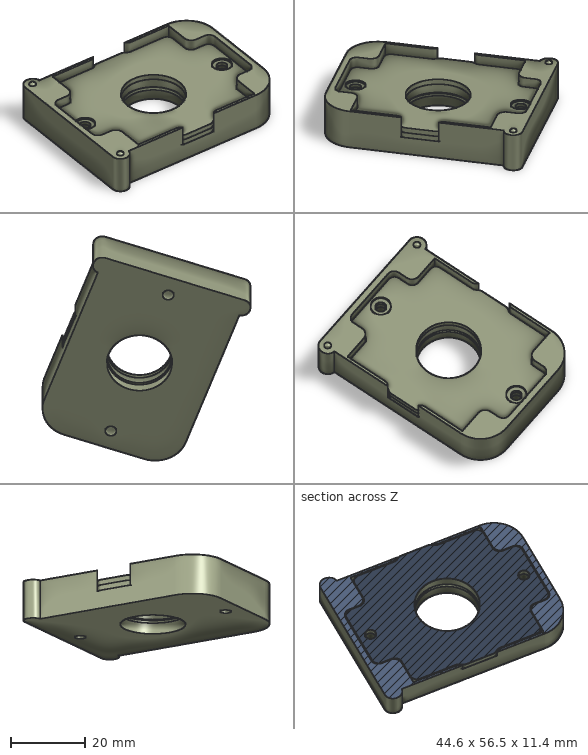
import cadquery as cq
import math

LENGTH = 56.45
WIDTH_OVER_BOSSES = 44.6
HEIGHT_OVER_BUMPS = 11.45
BODY_WIDTH = 40.35
BODY_HALF_WIDTH = BODY_WIDTH / 2
BODY_CORNER_RADIUS = 8.75
REAR_HEIGHT = 11.0
FRONT_HEIGHT = 10.8

BOSS_RADIUS = 2.5
BOSS_FLAT = 0.1
BOSS_X = WIDTH_OVER_BOSSES / 2 - BOSS_RADIUS
BOSS_Y = BOSS_RADIUS - LENGTH / 2
BUMP_RADIUS = 0.95
BUMP_HEIGHT = HEIGHT_OVER_BUMPS - FRONT_HEIGHT

FLOOR_Z = 5.0
RECESS_HALF_SIZE = 19.35
RECESS_END_Y = 26.4
RECESS_END_HALF_WIDTH = 9.95
RECESS_RADIUS = 2.0
RECESS_NECK_RADIUS = 2.3
NOTCH_HALF_WIDTH = 5.15

PLATE_STACK_HEIGHT = 3.0
PLATE_THICKNESS = PLATE_STACK_HEIGHT / 2
PLATE_HALF_WIDTH = 19.2
PLATE_HALF_LENGTH = 19.3
PLATE_END_Y = 26.25
PLATE_END_HALF_WIDTH = 9.9
PLATE_RADIUS = 2.0
SIDE_TAB_HALF_WIDTH = 3.95

OPENING_DIAMETER = 17.5
SEAT_DIAMETER = 20.0
SEAT_Z = 3.0
COLLAR_DIAMETER = 19.5
COLLAR_DEPTH = 1.0

SCREW_Y = 22.85
SCREW_DIAMETER = 3.0
SCREW_HEAD_DIAMETER = 5.5
SCREW_HEAD_DEPTH = 0.5
SCREW_POINTS = [(0, SCREW_Y), (0, -SCREW_Y)]


def block(width, length, height, base_z):
    """A box centred on the Z axis, standing on base_z."""
    return cq.Workplane("XY", origin=(0, 0, base_z)).box(width, length, height, centered=(True, True, False))


def disc(diameter, height, base_z, points=((0, 0),)):
    """Upright cylinders standing on base_z at the given points."""
    return cq.Workplane("XY", origin=(0, 0, base_z)).pushPoints(points).circle(diameter / 2).extrude(height)


def housing_blank():
    """Solid outline with rounded rear corners and bosses at the front corners."""
    corner_y = LENGTH / 2 - BODY_CORNER_RADIUS
    corner_x = BODY_HALF_WIDTH - BODY_CORNER_RADIUS
    boss_join_y = BOSS_Y + BOSS_FLAT + math.sqrt(BOSS_RADIUS**2 - (BODY_HALF_WIDTH - BOSS_X) ** 2)
    half = (
        cq.Workplane("XY")
        .moveTo(0, -LENGTH / 2)
        .lineTo(BOSS_X, -LENGTH / 2)
        .radiusArc((BOSS_X + BOSS_RADIUS, BOSS_Y), -BOSS_RADIUS)
        .lineTo(BOSS_X + BOSS_RADIUS, BOSS_Y + BOSS_FLAT)
        .radiusArc((BODY_HALF_WIDTH, boss_join_y), -BOSS_RADIUS)
        .lineTo(BODY_HALF_WIDTH, corner_y)
        .radiusArc((corner_x, LENGTH / 2), -BODY_CORNER_RADIUS)
        .lineTo(0, LENGTH / 2)
    )
    body = half.mirrorY().extrude(REAR_HEIGHT)
    step = block(2 * BODY_WIDTH, LENGTH, REAR_HEIGHT, FRONT_HEIGHT).translate((0, -LENGTH / 2, 0))
    return body.cut(step)


def bump(x):
    """Spherical cap on top of a boss."""
    sphere_radius = (BUMP_RADIUS**2 + BUMP_HEIGHT**2) / (2 * BUMP_HEIGHT)
    center_z = FRONT_HEIGHT + BUMP_HEIGHT - sphere_radius
    sphere = cq.Workplane("XY").sphere(sphere_radius).translate((x, BOSS_Y, center_z))
    return sphere.intersect(disc(4 * BUMP_RADIUS, 2 * BUMP_HEIGHT, FRONT_HEIGHT, [(x, BOSS_Y)]))


def round_corners(body, x, y, radius):
    """Fillet the four upright edges at (+-x, +-y)."""
    for side_x in (-x, x):
        for side_y in (-y, y):
            corner = cq.selectors.NearestToPointSelector((side_x, side_y, (FLOOR_Z + REAR_HEIGHT) / 2))
            body = body.edges(corner).fillet(radius)
    return body


def recess():
    """Cross-shaped cavity, open through both side walls."""
    depth = REAR_HEIGHT - FLOOR_Z
    square = block(2 * RECESS_HALF_SIZE, 2 * RECESS_HALF_SIZE, depth, FLOOR_Z)
    ends = block(2 * RECESS_END_HALF_WIDTH, 2 * RECESS_END_Y, depth, FLOOR_Z)
    ends = ends.edges("|Z").fillet(RECESS_RADIUS)
    arc_drop = BODY_HALF_WIDTH - RECESS_HALF_SIZE
    arc_run = math.sqrt(RECESS_RADIUS**2 - (RECESS_RADIUS - arc_drop) ** 2)
    notch_side_y = NOTCH_HALF_WIDTH + arc_run - RECESS_RADIUS
    notches = block(2 * BODY_WIDTH, 2 * notch_side_y, depth, FLOOR_Z)
    cross = square.union(ends).union(notches)
    cross = round_corners(cross, RECESS_END_HALF_WIDTH, RECESS_HALF_SIZE, RECESS_NECK_RADIUS)
    return round_corners(cross, RECESS_HALF_SIZE, notch_side_y, RECESS_RADIUS)


def make_housing():
    body = housing_blank().cut(recess())
    for x in (-BOSS_X, BOSS_X):
        body = body.union(bump(x))
    body = body.cut(disc(OPENING_DIAMETER, FLOOR_Z, 0))
    body = body.cut(disc(SEAT_DIAMETER, FLOOR_Z - SEAT_Z, SEAT_Z))
    return body.cut(disc(SCREW_DIAMETER, FLOOR_Z, 0, SCREW_POINTS))


def make_plate_blank(base_z):
    """Outline and screw holes shared by both plates."""
    square = block(2 * PLATE_HALF_WIDTH, 2 * PLATE_HALF_LENGTH, PLATE_THICKNESS, base_z)
    ends = block(2 * PLATE_END_HALF_WIDTH, 2 * PLATE_END_Y, PLATE_THICKNESS, base_z)
    plate = square.union(ends).edges("|Z").fillet(PLATE_RADIUS)
    for side in (-1, 1):
        plate = plate.union(side_tab(side, base_z))
    return plate.cut(disc(SCREW_DIAMETER, PLATE_THICKNESS, base_z, SCREW_POINTS))


def side_tab(side, base_z):
    """Tab that fills a side notch; each flank is an S-curve of two equal arcs."""
    depth = BODY_HALF_WIDTH - PLATE_HALF_WIDTH
    sweep = math.acos(1 - depth / (2 * PLATE_RADIUS))
    half_run = PLATE_RADIUS * math.sin(sweep)
    mid_x = (BODY_HALF_WIDTH + PLATE_HALF_WIDTH) / 2
    mid_y = SIDE_TAB_HALF_WIDTH + half_run
    root_y = mid_y + half_run
    bulge_x = PLATE_RADIUS * (1 - math.cos(sweep / 2))
    bulge_y = PLATE_RADIUS * math.sin(sweep / 2)
    tip_arc = (BODY_HALF_WIDTH - bulge_x, SIDE_TAB_HALF_WIDTH + bulge_y)
    root_arc = (PLATE_HALF_WIDTH + bulge_x, root_y - bulge_y)
    tab = (
        cq.Workplane("XY", origin=(0, 0, base_z))
        .moveTo(0, -root_y)
        .lineTo(PLATE_HALF_WIDTH, -root_y)
        .threePointArc((root_arc[0], -root_arc[1]), (mid_x, -mid_y))
        .threePointArc((tip_arc[0], -tip_arc[1]), (BODY_HALF_WIDTH, -SIDE_TAB_HALF_WIDTH))
        .lineTo(BODY_HALF_WIDTH, SIDE_TAB_HALF_WIDTH)
        .threePointArc(tip_arc, (mid_x, mid_y))
        .threePointArc(root_arc, (PLATE_HALF_WIDTH, root_y))
        .lineTo(0, root_y)
        .close()
        .extrude(PLATE_THICKNESS)
    )
    return tab if side > 0 else tab.mirror("YZ")


def make_lower_plate():
    collar = disc(COLLAR_DIAMETER, COLLAR_DEPTH, FLOOR_Z - COLLAR_DEPTH)
    plate = make_plate_blank(FLOOR_Z).union(collar)
    return plate.cut(disc(OPENING_DIAMETER, COLLAR_DEPTH + PLATE_THICKNESS, FLOOR_Z - COLLAR_DEPTH))


def make_upper_plate():
    base_z = FLOOR_Z + PLATE_THICKNESS
    plate = make_plate_blank(base_z).cut(disc(OPENING_DIAMETER, PLATE_THICKNESS, base_z))
    head_z = base_z + PLATE_THICKNESS - SCREW_HEAD_DEPTH
    return plate.cut(disc(SCREW_HEAD_DIAMETER, SCREW_HEAD_DEPTH, head_z, SCREW_POINTS))


housing = make_housing()
lower_plate = make_lower_plate()
upper_plate = make_upper_plate()

result = cq.Compound.makeCompound([housing.val(), lower_plate.val(), upper_plate.val()])